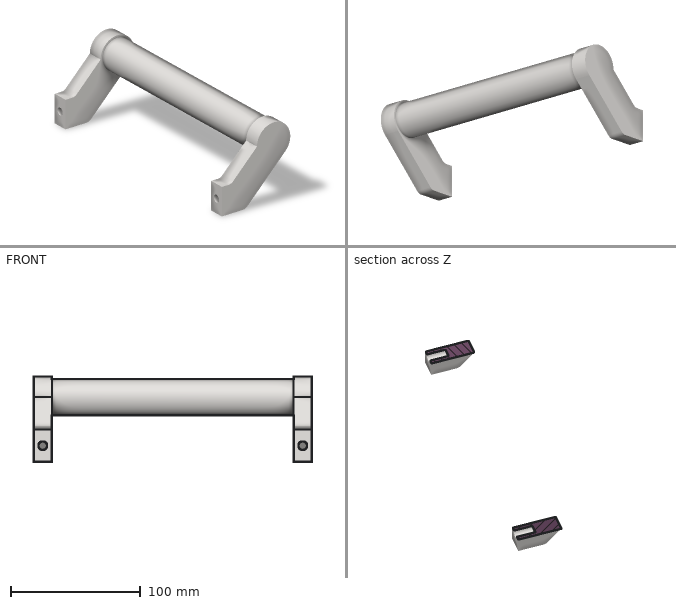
import cadquery as cq
import math

handle_length = 214.0
bar_diameter = 28.0

bracket_thickness = 14.0
boss_radius = 16.0
bracket_depth = 66.0
foot_height = 25.0
inner_bend_radius = 6.0
outer_bend_radius = 6.0

hole_diameter = 6.6
hole_depth = 15.0

foot_front = boss_radius - bracket_depth
foot_bottom = boss_radius - bracket_depth
foot_top = foot_bottom + foot_height
tangent_offset = boss_radius * math.sqrt(0.5)
inner_bend_y = -boss_radius + foot_top
outer_bend_y = foot_bottom + 2 * tangent_offset


def make_bar():
    """Round bar that ends flush with the outer faces of both brackets."""
    return (
        cq.Workplane("YZ", origin=(-handle_length / 2, 0, 0))
        .circle(bar_diameter / 2)
        .extrude(handle_length)
    )


def make_bracket(start_x):
    """Bracket whose left face lies at start_x."""
    body = (
        cq.Workplane("YZ", origin=(start_x, 0, 0))
        .moveTo(-boss_radius, 0)
        .lineTo(inner_bend_y, foot_top)
        .lineTo(foot_front, foot_top)
        .lineTo(foot_front, foot_bottom)
        .lineTo(outer_bend_y, foot_bottom)
        .lineTo(tangent_offset, -tangent_offset)
        .threePointArc((0, boss_radius), (-boss_radius, 0))
        .close()
        .extrude(bracket_thickness)
    )

    middle_x = start_x + bracket_thickness / 2
    inner_bend = cq.selectors.NearestToPointSelector((middle_x, inner_bend_y, foot_top))
    outer_bend = cq.selectors.NearestToPointSelector((middle_x, outer_bend_y, foot_bottom))
    body = body.edges(inner_bend).fillet(inner_bend_radius)
    body = body.edges(outer_bend).fillet(outer_bend_radius)

    bar_seat = (
        cq.Workplane("YZ", origin=(start_x, 0, 0))
        .circle(bar_diameter / 2)
        .extrude(bracket_thickness)
    )

    hole_z = foot_bottom + foot_height / 2
    mounting_hole = (
        cq.Workplane("XZ", origin=(middle_x, foot_front, hole_z))
        .circle(hole_diameter / 2)
        .extrude(-hole_depth)
    )
    return body.cut(bar_seat).cut(mounting_hole)


bar = make_bar()
bracket_starts = [-handle_length / 2, handle_length / 2 - bracket_thickness]
brackets = [make_bracket(start_x) for start_x in bracket_starts]

result = cq.Compound.makeCompound([bar.val(), *[bracket.val() for bracket in brackets]])